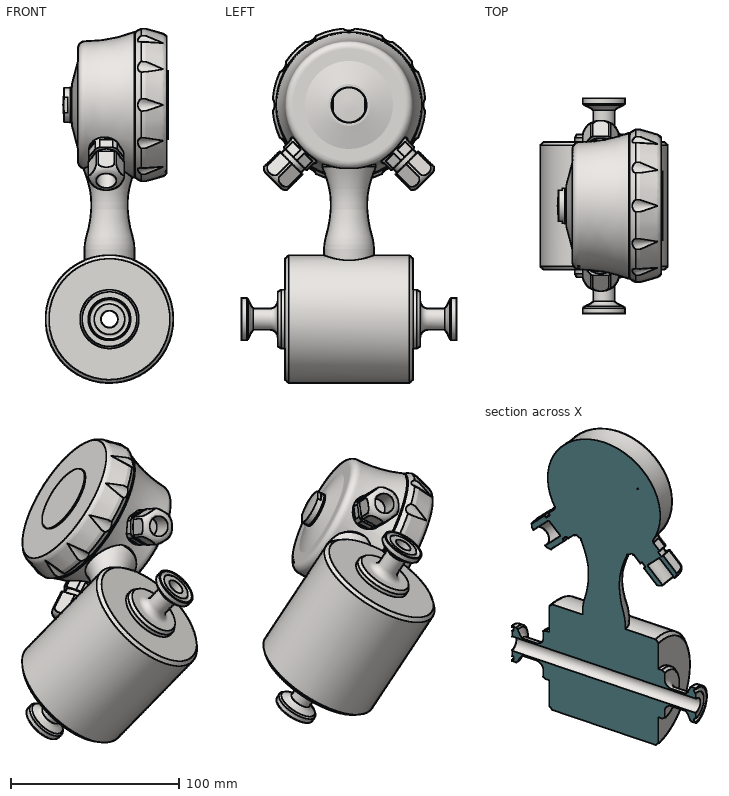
import cadquery as cq
import math

drum_diameter = 76.1
drum_length = 76.1
drum_chamfer = 2.1

bore_diameter = 10.0
port_span = 128.0
port_reach = port_span / 2
flange_diameter = 35.0
flange_height = 4.5
flange_chamfer_length = 2.1
flange_chamfer_drop = 1.3
pipe_diameter = 12.9
pipe_fillet = 4.5
ferrule_diameter = 25.3
ferrule_rim = 3.2
ferrule_lip_radius = 11.5
ferrule_lip_length = 1.0
ferrule_cone_radius = 8.0
ferrule_cone_length = 1.7
ferrule_blend_length = 1.3
seal_inner_radius = 9.0
seal_outer_radius = 11.8
seal_depth = 1.3

stem_base_diameter = 30.0
stem_waist_diameter = 22.0
stem_base_top = 41.8
stem_base_taper_radius = 14.8
stem_base_taper_top = 44.3
stem_shoulder_radius = 14.0
stem_shoulder_z = 48.7
waist_bottom_z = 65.2
waist_top_z = 69.5
stem_neck_radius = 11.8
stem_neck_z = 77.4
stem_top_radius = 16.0
stem_top_z = 90.7

lid_radius = 45.5
head_z = 127.4
head_back_x = -18.8
head_back_radius = 38.0
head_back_round = 4.5
back_flat_radius = 26.1
back_hub_radius = 15.5
back_hub_x = -21.5
joint_x = 14.8
joint_width = 0.6
joint_depth = 0.6
joint_radius = 43.5
crest_start_x = 18.8
crest_end_x = 21.5
lid_front_x = 34.2
lid_front_radius = 40.5
lid_round_x = 31.5
lid_round_radius = 42.5
window_radius = 20.5
window_height = 0.8

button_seat_radius = 12.5
button_seat_x = -22.4
button_washer_radius = 10.5
button_washer_x = -23.2
button_radius = 10.3
button_edge_x = -27.0
button_dome_height = 0.6
button_flat_width = 18.5
button_flat_x = -24.9

grip_count = 12
grip_tip_x = 31.8
grip_tip_radial = 42.4
grip_half_angle = 23.0
grip_floor_angle = 7.5
grip_cone_length = 19.0

gland_x = -2.0
gland_angles = (-45, -135)
gland_root = 25.3
gland_body_diameter = 20.9
gland_hex_width = 19.5
gland_hex_start = 39.0
gland_hex_end = 45.3
gland_neck_diameter = 16.7
nut_width = 19.5
nut_corner_diameter = 21.5
nut_start = 48.7
nut_nose_start = 59.5
nut_nose_middle = 62.0
nut_end = 63.7
nut_end_radius = 6.7
gland_bore_diameter = 12.0


def rod(diameter, start, end):
    """Round bar along Y."""
    return cq.Workplane("XZ", origin=(0, start, 0)).circle(diameter / 2).extrude(start - end)


def hexagon(width, start, end):
    """Hexagonal bar along Y with two of its corners toward +X and -X."""
    across_corners = width / math.cos(math.radians(30))
    return cq.Workplane("XZ", origin=(0, start, 0)).polygon(6, across_corners).extrude(start - end)


def drum():
    body = rod(drum_diameter, -drum_length / 2, drum_length / 2)
    return body.faces("<Y or >Y").chamfer(drum_chamfer)


def port():
    """Flange, pipe and clamp ferrule on the +Y end, revolved about the Y axis."""
    face_y = drum_length / 2
    flange_y = face_y + flange_height
    flange_radius = flange_diameter / 2
    pipe_radius = pipe_diameter / 2
    ferrule_radius = ferrule_diameter / 2
    rim_y = port_reach - ferrule_rim
    lip_y = rim_y - ferrule_lip_length
    cone_y = lip_y - ferrule_cone_length
    blend_y = cone_y - ferrule_blend_length
    fillet_offset = pipe_fillet * (1 - math.sqrt(0.5))
    groove_middle = (seal_inner_radius + seal_outer_radius) / 2
    return (
        cq.Workplane("XY")
        .moveTo(0, face_y - drum_chamfer)
        .lineTo(flange_radius, face_y - drum_chamfer)
        .lineTo(flange_radius, flange_y - flange_chamfer_length)
        .lineTo(flange_radius - flange_chamfer_drop, flange_y)
        .lineTo(pipe_radius + pipe_fillet, flange_y)
        .threePointArc(
            (pipe_radius + fillet_offset, flange_y + fillet_offset),
            (pipe_radius, flange_y + pipe_fillet),
        )
        .lineTo(pipe_radius, blend_y)
        .lineTo(ferrule_cone_radius, cone_y)
        .lineTo(ferrule_lip_radius, lip_y)
        .lineTo(ferrule_radius, rim_y)
        .lineTo(ferrule_radius, port_reach)
        .lineTo(seal_outer_radius, port_reach)
        .threePointArc((groove_middle, port_reach - seal_depth), (seal_inner_radius, port_reach))
        .lineTo(0, port_reach)
        .close()
        .revolve(360, (0, 0, 0), (0, 1, 0))
    )


def stem():
    """Waisted stem between the drum and the head, revolved about the Z axis."""
    base_radius = stem_base_diameter / 2
    waist_radius = stem_waist_diameter / 2
    return (
        cq.Workplane("XZ")
        .lineTo(base_radius, 0)
        .lineTo(base_radius, stem_base_top)
        .lineTo(stem_base_taper_radius, stem_base_taper_top)
        .tangentArcPoint((stem_shoulder_radius, stem_shoulder_z), relative=False)
        .tangentArcPoint((waist_radius, waist_bottom_z), relative=False)
        .lineTo(waist_radius, waist_top_z)
        .tangentArcPoint((stem_neck_radius, stem_neck_z), relative=False)
        .tangentArcPoint((stem_top_radius, stem_top_z), relative=False)
        .lineTo(stem_top_radius, head_z)
        .lineTo(0, head_z)
        .close()
        .revolve(360, (0, 0, 0), (0, 1, 0))
    )


def head():
    """Housing and screw lid, revolved about the head axis."""
    joint_floor = joint_radius - joint_depth
    round_middle = head_back_round * (1 - math.sqrt(0.5))
    return (
        cq.Workplane("XZ", origin=(0, 0, head_z))
        .moveTo(button_edge_x - button_dome_height, 0)
        .lineTo(button_edge_x, button_radius)
        .lineTo(button_washer_x, button_radius)
        .lineTo(button_washer_x, button_washer_radius)
        .lineTo(button_seat_x, button_washer_radius)
        .lineTo(button_seat_x, button_seat_radius)
        .lineTo(back_hub_x, back_hub_radius)
        .lineTo(head_back_x, back_flat_radius)
        .lineTo(head_back_x, head_back_radius - head_back_round)
        .threePointArc(
            (head_back_x + round_middle, head_back_radius - round_middle),
            (head_back_x + head_back_round, head_back_radius),
        )
        .tangentArcPoint((joint_x, joint_radius), relative=False)
        .lineTo(joint_x, joint_floor)
        .lineTo(joint_x + joint_width, joint_floor)
        .lineTo(joint_x + joint_width, joint_radius)
        .lineTo(crest_start_x, lid_radius)
        .lineTo(crest_end_x, lid_radius)
        .lineTo(lid_round_x, lid_round_radius)
        .tangentArcPoint((lid_front_x, lid_front_radius), relative=False)
        .lineTo(lid_front_x, window_radius)
        .lineTo(lid_front_x + window_height, window_radius)
        .lineTo(lid_front_x + window_height, 0)
        .close()
        .revolve(360, (0, 0, 0), (1, 0, 0))
    )


def button_flats():
    """Two blocks that cut parallel flats on the button."""
    depth = button_flat_x - button_edge_x + button_dome_height
    block_x = button_flat_x - depth / 2
    offset = button_flat_width / 2 + button_radius / 2
    block = cq.Workplane("XY").box(depth, button_radius, 2 * button_radius)
    return block.translate((block_x, offset, head_z)).union(block.translate((block_x, -offset, head_z)))


def grip_cutter():
    """Cone with its tip on the lid slope and its lowest ruling as the floor of the finger grip."""
    base_radius = grip_cone_length * math.tan(math.radians(grip_half_angle))
    axis_angle = math.radians(grip_half_angle + grip_floor_angle)
    tip = cq.Vector(grip_tip_x, 0, head_z + grip_tip_radial)
    direction = cq.Vector(-math.cos(axis_angle), 0, math.sin(axis_angle))
    return cq.Workplane(cq.Solid.makeCone(0, base_radius, grip_cone_length, tip, direction))


def around_head(shape, angle):
    return shape.rotate((0, 0, head_z), (1, 0, head_z), angle)


def gland():
    """Cable gland along +Y, measured from the head axis."""
    root = rod(gland_body_diameter, gland_root, gland_hex_start)
    body_hex = hexagon(gland_hex_width, gland_hex_start, gland_hex_end).intersect(
        rod(gland_body_diameter, gland_hex_start, gland_hex_end)
    )
    neck = rod(gland_neck_diameter, gland_hex_end, nut_start)
    nut_envelope = (
        cq.Workplane("XY")
        .moveTo(0, nut_start)
        .lineTo(nut_corner_diameter / 2, nut_start)
        .lineTo(nut_corner_diameter / 2, nut_nose_start)
        .threePointArc((nut_width / 2, nut_nose_middle), (nut_end_radius, nut_end))
        .lineTo(0, nut_end)
        .close()
        .revolve(360, (0, 0, 0), (0, 1, 0))
    )
    nut = hexagon(nut_width, nut_start, nut_end).intersect(nut_envelope)
    cable_bore = rod(gland_bore_diameter, nut_start, nut_end)
    whole = root.union(body_hex).union(neck).union(nut).cut(cable_bore)
    return whole.translate((gland_x, 0, head_z))


housing = head().cut(button_flats())
for index in range(grip_count):
    housing = housing.cut(around_head(grip_cutter(), index * 360 / grip_count))

result = drum().union(port()).union(port().mirror("XZ")).union(stem()).union(housing)
for angle in gland_angles:
    result = result.union(around_head(gland(), angle))
result = result.cut(rod(bore_diameter, -port_reach, port_reach))